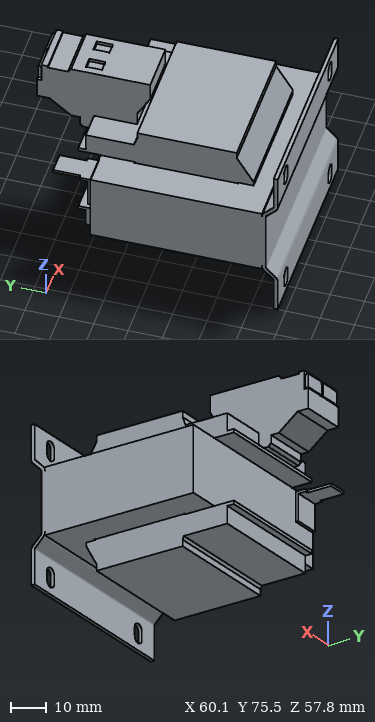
import cadquery as cq
import math


plate_width = 60.1
plate_height = 49.5
sheet = 1.2
flange_step = 3.45
bend_z = 9.85
bend_angle = 45
inner_bend_radius = 0.8
outer_bend_radius = inner_bend_radius + sheet
slot_width = 3.6
slot_length = 6.0
slot_pitch_x = 44.0
slot_pitch_z = 39.0

core_width = plate_width
core_length = 49.9
core_height = 21.0
core_front = flange_step + sheet
core_back = core_front + core_length
core_top = core_height / 2
window_width = 39.9
window_length = 30.2
core_middle = core_front + core_length / 2

coil_width = 39.2
lip_thickness = 1.1
lip_back = 61.1
shelf_back = 58.9
shelf_z = 17.05
crown_back = 43.9
crown_front = 15.0
upper_crown_z = 21.7
upper_shelf_front = 44.9
upper_crown_wall = 1.95
upper_front = 10.1
upper_front_wall = 1.4
lower_crown_z = 20.1
lower_shelf_front = 44.3
lower_crown_wall = 2.0
lower_front = 11.5
lower_front_wall = 1.1

tab_sheet = 0.9
tab_x = -25.45
tab_width = 6.4
tab_back = 65.8
tab_top = 10.05
shoulder_width = 8.3
shoulder_back = 57.85
tab_leg_bottom = 0.65

block_x = -3.8
block_width = 15.1
block_top = 33.05
block_front = 42.55
block_back = 75.55
block_foot_front = 46.4
block_bottom = 12.05
ledge_z = 26.65
rear_face = 74.2
neck_top = 21.0
nose_bottom = 27.6
roof_back = 65.6
bevel_back = 66.5
deck_z = 31.9
rim_front = 72.3
rim_top = 32.45
back_bottom = 20.35
belly_back = 71.95
belly_front = 65.6
heel_top = 15.4
heel_back = 63.0
heel_chamfer = 0.9
entry_pitch = 7.4
entry_width = 3.4
entry_length = 4.7
entry_y = 59.55
entry_depth = 1.0
pad_pitch = 7.55
pad_width = 6.7
pad_back = 75.25
pad_bottom = 27.2
pad_top = 31.35


def extrude_profile(points, width, x_centre):
    """Extrude a closed (Y, Z) outline along X, centred on x_centre."""
    return (
        cq.Workplane("YZ", origin=(x_centre, 0, 0))
        .polyline(points)
        .close()
        .extrude(width / 2, both=True)
    )


def box_between(x_centre, width, y_range, z_range):
    """Box centred on x_centre that spans the given Y and Z ranges."""
    y_min, y_max = y_range
    z_min, z_max = z_range
    corners = [(y_min, z_min), (y_max, z_min), (y_max, z_max), (y_min, z_max)]
    return extrude_profile(corners, width, x_centre)


def make_plate():
    """Bent plate with a set-back middle and two slotted flanges."""
    back_shift = sheet * math.tan(math.radians(bend_angle / 2))
    flange_bend_z = bend_z + flange_step / math.tan(math.radians(bend_angle))
    half_height = plate_height / 2
    front = [(flange_step, bend_z), (0, flange_bend_z), (0, half_height)]
    back = [
        (sheet, half_height),
        (sheet, flange_bend_z + back_shift),
        (flange_step + sheet, bend_z + back_shift),
    ]
    upper = front + back
    lower = [(y, -z) for y, z in reversed(upper)]
    plate = extrude_profile(upper + lower, plate_width, 0)

    bends = [
        (front[0], inner_bend_radius),
        (front[1], outer_bend_radius),
        (back[1], inner_bend_radius),
        (back[2], outer_bend_radius),
    ]
    for (y, z), radius in bends:
        for side in (1, -1):
            corner = cq.selectors.NearestToPointSelector((0, y, side * z))
            plate = plate.edges("|X").edges(corner).fillet(radius)

    slots = (
        cq.Workplane("XZ")
        .rarray(slot_pitch_x, slot_pitch_z, 2, 2)
        .slot2D(slot_length, slot_width, 90)
        .extrude(-sheet)
    )
    return plate.cut(slots)


def make_core():
    """Lamination stack with a window through it for the coil."""
    return (
        cq.Workplane("XY", origin=(0, core_middle, -core_top))
        .rect(core_width, core_length)
        .rect(window_width, window_length)
        .extrude(core_height)
    )


def make_coil():
    """Coil and bobbin that fill the length of the core window and stand out above and below."""
    window_front = core_middle - window_length / 2
    window_back = core_middle + window_length / 2
    lip_z = core_top + lip_thickness
    outline = [
        (upper_front, core_top),
        (upper_front, core_top + upper_front_wall),
        (crown_front, upper_crown_z - upper_crown_wall),
        (crown_front, upper_crown_z),
        (crown_back, upper_crown_z),
        (crown_back, upper_crown_z - upper_crown_wall),
        (upper_shelf_front, shelf_z),
        (shelf_back, shelf_z),
        (shelf_back, lip_z),
        (lip_back, lip_z),
        (lip_back, core_top),
        (window_back, core_top),
        (window_back, -core_top),
        (lip_back, -core_top),
        (lip_back, -lip_z),
        (shelf_back, -lip_z),
        (shelf_back, -shelf_z),
        (lower_shelf_front, -shelf_z),
        (crown_back, -lower_crown_z + lower_crown_wall),
        (crown_back, -lower_crown_z),
        (crown_front, -lower_crown_z),
        (crown_front, -lower_crown_z + lower_crown_wall),
        (lower_front, -core_top - lower_front_wall),
        (lower_front, -core_top),
        (window_front, -core_top),
        (window_front, core_top),
    ]
    return extrude_profile(outline, coil_width, 0)


def make_earth_tab():
    """Angle tab: a leg on the core, a wide shoulder and a narrower blade."""
    blade_z = (tab_top - tab_sheet, tab_top)
    leg = box_between(tab_x, shoulder_width, (core_back, core_back + tab_sheet), (tab_leg_bottom, tab_top))
    shoulder = box_between(tab_x, shoulder_width, (core_back, shoulder_back), blade_z)
    blade = box_between(tab_x, tab_width, (core_back, tab_back), blade_z)
    return leg.union(shoulder).union(blade)


def make_terminal_block():
    """Terminal block hooked over the rear edge of the coil shelf."""
    outline = [
        (block_foot_front, shelf_z),
        (block_foot_front, neck_top),
        (block_front, nose_bottom),
        (block_front, block_top),
        (roof_back, block_top),
        (bevel_back, deck_z),
        (rim_front, deck_z),
        (rim_front, rim_top),
        (rear_face, rim_top),
        (rear_face, ledge_z),
        (block_back, ledge_z),
        (block_back, back_bottom),
        (belly_back, back_bottom),
        (belly_front, heel_top),
        (heel_back, heel_top),
        (heel_back, block_bottom + heel_chamfer),
        (heel_back - heel_chamfer, block_bottom),
        (shelf_back, block_bottom),
        (shelf_back, shelf_z),
    ]
    block = extrude_profile(outline, block_width, block_x)
    for side in (-1, 1):
        entry = box_between(
            block_x + side * entry_pitch / 2,
            entry_width,
            (entry_y - entry_length / 2, entry_y + entry_length / 2),
            (block_top - entry_depth, block_top),
        )
        pad = box_between(
            block_x + side * pad_pitch / 2,
            pad_width,
            (rear_face, pad_back),
            (pad_bottom, pad_top),
        )
        block = block.cut(entry).union(pad)
    return block


result = (
    make_core()
    .union(make_coil())
    .union(make_plate())
    .union(make_earth_tab())
    .union(make_terminal_block())
)